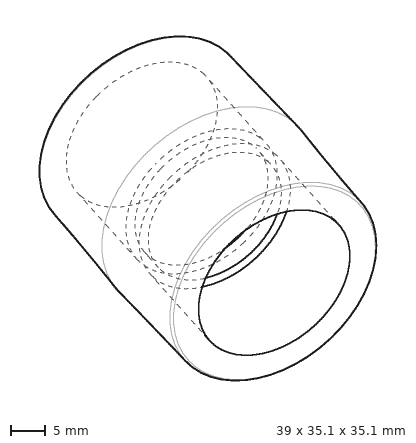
import cadquery as cq

length = 39.0
middle_diameter = 35.1
end_diameter = 34.1
edge_round = 0.4

socket_diameter = 25.0
stop_diameter = 22.0
stop_width = 3.9

half_length = length / 2
socket_depth = (length - stop_width) / 2


def tapered_body():
    """Two cones that meet at the widest section, with rounded outer rims."""
    end_radius = end_diameter / 2
    profile = (
        cq.Workplane("XY")
        .moveTo(-half_length, 0)
        .lineTo(-half_length, end_radius)
        .lineTo(0, middle_diameter / 2)
        .lineTo(half_length, end_radius)
        .lineTo(half_length, 0)
        .close()
    )
    body = profile.revolve(360, (0, 0, 0), (1, 0, 0))
    return body.faces("<X or >X").edges().fillet(edge_round)


def bore_cylinder(start_x, diameter, depth):
    """Cylinder along +X used to cut the bore."""
    return cq.Workplane("YZ", origin=(start_x, 0, 0)).circle(diameter / 2).extrude(depth)


result = tapered_body().cut(bore_cylinder(-half_length, stop_diameter, length))
for socket_start in (-half_length, half_length - socket_depth):
    result = result.cut(bore_cylinder(socket_start, socket_diameter, socket_depth))